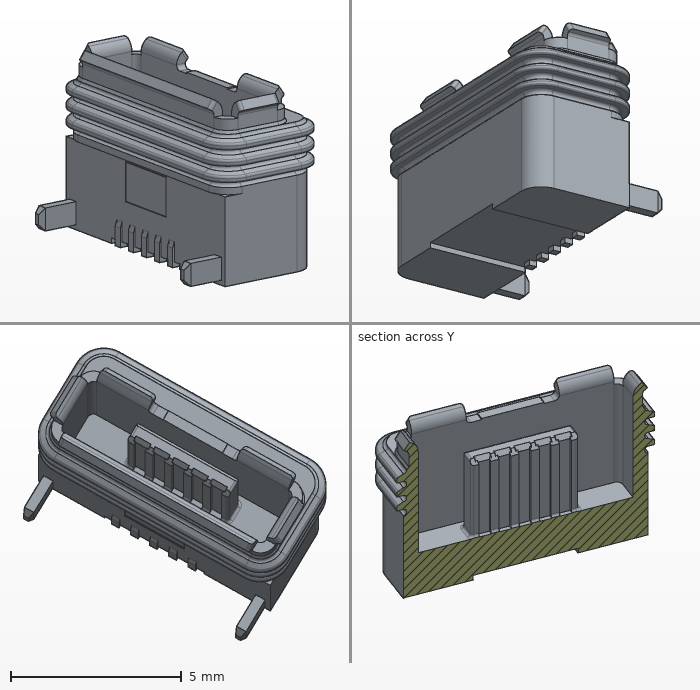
import cadquery as cq
import math

BODY_HALF_X = 3.935
BODY_HALF_Y = 1.69
BODY_CORNER_RADIUS = 0.7
BODY_FRONT_Y = -1.62
BODY_TOP_Z = 2.74
COLLAR_TOP_Z = 2.955

SEAL_HALF_X = 4.15
LIP_COUNT = 3
LIP_PITCH = 0.5
GROOVE_WIDTH = 0.21
LIP_SLOPE_RISE = 0.08
LIP_ROUND_WIDTH = 0.05
LIP_LOWER_ROUND = 0.04

SHELL_HALF_X = 3.76
SHELL_BACK_Y = 0.92
SHELL_FRONT_Y = -1.53
SHELL_CORNER_RADIUS = 0.51
SHELL_WALL = 0.315
SHELL_TOP_Z = 5.0
SHELL_FOOT_WIDTH = 0.06
SHELL_FOOT_HEIGHT = 0.1
CAVITY_FLOOR_Z = 1.49

FLARE_TOP_Z = 5.52
FLARE_ANGLE = 55.0
FLARE_OUTER_RADIUS = 0.125
FLARE_STRAIGHT = 0.125
FLARE_TIP_ROUND = 0.12
BACK_FLARE_INNER_X = 1.49

RIM_LOW_Z = 4.955
RIM_CENTER_HALF_X = 1.005
RIM_NOTCH_ROUND = 0.15

TONGUE_HALF_X = 1.72
TONGUE_BACK_Y = 0.36
TONGUE_FRONT_Y = -0.26
TONGUE_TOP_Z = 4.2
TONGUE_CORNER_ROUND = 0.08
TONGUE_SIDE_ROUND = 0.075
TONGUE_BACK_CHAMFER = 0.1
TONGUE_FRONT_CHAMFER = 0.16
TONGUE_FOOT_ROUND = 0.1
CONTACT_COUNT = 5
CONTACT_PITCH = 0.65
SLOT_WIDTH = 0.38
SLOT_BACK_Y = -0.17
SLOT_MOUTH_WIDTH = 0.51
SLOT_MOUTH_BACK_Y = -0.025
SLOT_MOUTH_DEPTH = 0.14

LEAD_WIDTH = 0.26
LEAD_FRONT_Y = -1.68
LEAD_TOP_Z = 0.78
LEAD_SHOULDER_Z = 0.6
LEAD_NOTCH_HALF_X = 1.685
LEAD_NOTCH_HEIGHT = 0.17
LEAD_THICKNESS = 0.26
POST_X = 3.59
POST_WIDTH = 0.32
POST_BOTTOM_Z = 0.16
POST_TOP_Z = 0.86
POST_TAPER_Y = -2.73
POST_TIP_Y = -2.92
POST_TIP_WIDTH = 0.17
POST_TIP_HEIGHT = 0.315

PANEL_HALF_X = 1.005
PANEL_BOTTOM_Z = 1.44
PANEL_TOP_Z = 2.65
PANEL_DEPTH = 0.03

COVE_RADIUS = GROOVE_WIDTH / 2
SEAL_TOP_Z = COLLAR_TOP_Z + LIP_COUNT * LIP_PITCH + COVE_RADIUS
LIP_DEPTH = SEAL_HALF_X - BODY_HALF_X + COVE_RADIUS
FLOOR_HALF_X = SEAL_HALF_X - LIP_DEPTH
FLOOR_HALF_Y = BODY_HALF_Y - COVE_RADIUS
FLOOR_CORNER_RADIUS = BODY_CORNER_RADIUS - COVE_RADIUS
SHELL_MID_Y = (SHELL_BACK_Y + SHELL_FRONT_Y) / 2
SHELL_HALF_Y = (SHELL_BACK_Y - SHELL_FRONT_Y) / 2


def block(x_min, x_max, y_min, y_max, z_min, z_max):
    """Box between the given coordinates."""
    return cq.Workplane("XY").box(
        x_max - x_min, y_max - y_min, z_max - z_min, centered=False
    ).translate((x_min, y_min, z_min))


def rounded_block(half_x, half_y, radius, z_min, z_max, mid_y=0.0):
    """Upright block with four rounded vertical corners."""
    plain = block(-half_x, half_x, mid_y - half_y, mid_y + half_y, z_min, z_max)
    return plain.edges("|Z").fillet(radius)


def make_housing():
    """Block with a flat square-cornered front, a rounded back and a rounded collar on top."""
    rounded = rounded_block(BODY_HALF_X, BODY_HALF_Y, BODY_CORNER_RADIUS, 0, BODY_TOP_Z)
    front = block(-BODY_HALF_X, BODY_HALF_X, BODY_FRONT_Y, 0, 0, BODY_TOP_Z)
    ahead_of_front = block(
        -BODY_HALF_X, BODY_HALF_X, -BODY_HALF_Y, BODY_FRONT_Y, 0, BODY_TOP_Z
    )
    collar = rounded_block(
        BODY_HALF_X, BODY_HALF_Y, BODY_CORNER_RADIUS, BODY_TOP_Z, COLLAR_TOP_Z
    )
    panel = block(
        -PANEL_HALF_X, PANEL_HALF_X,
        BODY_FRONT_Y, BODY_FRONT_Y + PANEL_DEPTH, PANEL_BOTTOM_Z, PANEL_TOP_Z,
    )
    notch = block(
        -LEAD_NOTCH_HALF_X, LEAD_NOTCH_HALF_X,
        -BODY_HALF_Y, BODY_HALF_Y, 0, LEAD_NOTCH_HEIGHT,
    )
    return rounded.union(front).cut(ahead_of_front).cut(panel).cut(notch).union(collar)


def make_seal():
    """Core with a ring of lips swept around it; coves join the lips to the core."""
    core = rounded_block(
        FLOOR_HALF_X, FLOOR_HALF_Y, FLOOR_CORNER_RADIUS, COLLAR_TOP_Z, SEAL_TOP_Z
    )
    path = core.faces("<Z").wires()

    root = FLOOR_HALF_Y - COVE_RADIUS
    floor = FLOOR_HALF_Y
    cove_end = floor + COVE_RADIUS
    tip = floor + LIP_DEPTH

    profile = cq.Workplane("YZ").moveTo(root, COLLAR_TOP_Z).lineTo(cove_end, COLLAR_TOP_Z)
    slope_angle = math.atan2(LIP_SLOPE_RISE, tip - LIP_ROUND_WIDTH - cove_end)
    upper_round = LIP_ROUND_WIDTH / (1 - math.sin(slope_angle))
    lip_height = LIP_PITCH - GROOVE_WIDTH
    slope_foot = COLLAR_TOP_Z
    for _ in range(LIP_COUNT):
        underside = slope_foot + GROOVE_WIDTH
        slope_top = underside + lip_height
        slope_end = slope_top - LIP_SLOPE_RISE
        profile = (
            profile
            .threePointArc((floor, slope_foot + COVE_RADIUS), (cove_end, underside))
            .lineTo(tip - LIP_LOWER_ROUND, underside)
            .radiusArc((tip, underside + LIP_LOWER_ROUND), -LIP_LOWER_ROUND)
            .lineTo(tip, slope_end - upper_round * math.cos(slope_angle))
            .radiusArc((tip - LIP_ROUND_WIDTH, slope_end), -upper_round)
            .lineTo(cove_end, slope_top)
        )
        slope_foot = slope_top
    profile = (
        profile
        .radiusArc((floor, SEAL_TOP_Z), COVE_RADIUS)
        .lineTo(root, SEAL_TOP_Z)
        .close()
    )
    return core.union(profile.sweep(path))


def make_shell():
    """Rounded sleeve standing on the seal, with a chamfered foot."""
    sleeve = rounded_block(
        SHELL_HALF_X, SHELL_HALF_Y, SHELL_CORNER_RADIUS, SEAL_TOP_Z, SHELL_TOP_Z, SHELL_MID_Y
    )
    foot = rounded_block(
        SHELL_HALF_X + SHELL_FOOT_WIDTH, SHELL_HALF_Y + SHELL_FOOT_WIDTH,
        SHELL_CORNER_RADIUS + SHELL_FOOT_WIDTH,
        SEAL_TOP_Z - SHELL_FOOT_HEIGHT, SEAL_TOP_Z + SHELL_FOOT_HEIGHT, SHELL_MID_Y,
    ).faces(">Z").edges().chamfer(SHELL_FOOT_HEIGHT, SHELL_FOOT_WIDTH)
    return sleeve.union(foot)


def make_cavity():
    """Opening inside the shell, down to the cavity floor."""
    return rounded_block(
        SHELL_HALF_X - SHELL_WALL, SHELL_HALF_Y - SHELL_WALL,
        SHELL_CORNER_RADIUS - SHELL_WALL, CAVITY_FLOOR_Z, SHELL_TOP_Z, SHELL_MID_Y,
    )


def make_back_rim():
    """Back wall between the flares: higher centre land, low ends rounded up into the flares."""
    wall_y = SHELL_BACK_Y - SHELL_WALL
    notch_top_z = RIM_LOW_Z + RIM_NOTCH_ROUND
    wall = block(
        -BACK_FLARE_INNER_X, BACK_FLARE_INNER_X, wall_y, SHELL_BACK_Y, SEAL_TOP_Z, notch_top_z
    )
    notch = block(
        -BACK_FLARE_INNER_X, BACK_FLARE_INNER_X, wall_y, SHELL_BACK_Y, RIM_LOW_Z, FLARE_TOP_Z
    ).edges("|Y and <Z").fillet(RIM_NOTCH_ROUND)
    land = block(
        -RIM_CENTER_HALF_X, RIM_CENTER_HALF_X, wall_y, SHELL_BACK_Y, SEAL_TOP_Z, SHELL_TOP_Z
    )
    return wall.cut(notch).union(land)


def make_back_gap():
    """Cutter that clears the back wall between the flares."""
    return block(
        -BACK_FLARE_INNER_X, BACK_FLARE_INNER_X,
        SHELL_BACK_Y - SHELL_WALL, SHELL_BACK_Y, RIM_LOW_Z, SHELL_TOP_Z,
    )


def make_flare(length):
    """Lip of the given length along X: inner face at Y = 0, bending outward to -Y."""
    angle = math.radians(FLARE_ANGLE)
    inner_radius = FLARE_OUTER_RADIUS + SHELL_WALL
    bend_z = FLARE_TOP_Z - FLARE_STRAIGHT * math.cos(angle) - inner_radius * math.sin(angle)

    def on_bend(radius, turn):
        """Point on the bend at the given radius and turn angle."""
        return (-inner_radius + radius * math.cos(turn), bend_z + radius * math.sin(turn))

    def past_bend(radius):
        """Tip corner at the end of the flat stretch."""
        y, z = on_bend(radius, angle)
        return (y - FLARE_STRAIGHT * math.sin(angle), z + FLARE_STRAIGHT * math.cos(angle))

    flare = (
        cq.Workplane("YZ")
        .moveTo(0, SEAL_TOP_Z)
        .lineTo(0, bend_z)
        .threePointArc(on_bend(inner_radius, angle / 2), on_bend(inner_radius, angle))
        .lineTo(*past_bend(inner_radius))
        .lineTo(*past_bend(FLARE_OUTER_RADIUS))
        .lineTo(*on_bend(FLARE_OUTER_RADIUS, angle))
        .threePointArc(on_bend(FLARE_OUTER_RADIUS, angle / 2), on_bend(FLARE_OUTER_RADIUS, 0))
        .lineTo(-SHELL_WALL, SEAL_TOP_Z)
        .close()
        .extrude(length / 2, both=True)
    )
    across_tip = cq.Vector(0, math.cos(angle), math.sin(angle))
    return flare.edges(cq.selectors.ParallelDirSelector(across_tip)).fillet(FLARE_TIP_ROUND)


def make_flares():
    """One long front lip, one on each side and two on the back."""
    flat_half_x = SHELL_HALF_X - SHELL_CORNER_RADIUS
    flat_half_y = SHELL_HALF_Y - SHELL_CORNER_RADIUS
    axis_start, axis_end = (0, 0, 0), (0, 0, 1)

    flares = make_flare(2 * flat_half_x).translate((0, SHELL_FRONT_Y + SHELL_WALL, 0))
    back_mid_x = (flat_half_x + BACK_FLARE_INNER_X) / 2
    back = make_flare(flat_half_x - BACK_FLARE_INNER_X).rotate(axis_start, axis_end, 180)
    side = make_flare(2 * flat_half_y)
    for sign in (-1, 1):
        flares = flares.union(back.translate((sign * back_mid_x, SHELL_BACK_Y - SHELL_WALL, 0)))
        turned = side.rotate(axis_start, axis_end, sign * 90)
        flares = flares.union(
            turned.translate((sign * (SHELL_HALF_X - SHELL_WALL), SHELL_MID_Y, 0))
        )
    return flares


def contact_positions():
    """X places of the evenly spaced contacts and leads."""
    return [(index - (CONTACT_COUNT - 1) / 2) * CONTACT_PITCH for index in range(CONTACT_COUNT)]


def make_tongue_blade():
    """Blade with rounded corners, rounded top ends and chamfered long top edges."""
    blade = (
        cq.Workplane("YZ")
        .moveTo(TONGUE_FRONT_Y, CAVITY_FLOOR_Z)
        .lineTo(TONGUE_BACK_Y, CAVITY_FLOOR_Z)
        .lineTo(TONGUE_BACK_Y, TONGUE_TOP_Z - TONGUE_BACK_CHAMFER)
        .lineTo(TONGUE_BACK_Y - TONGUE_BACK_CHAMFER, TONGUE_TOP_Z)
        .lineTo(TONGUE_FRONT_Y + TONGUE_FRONT_CHAMFER, TONGUE_TOP_Z)
        .lineTo(TONGUE_FRONT_Y, TONGUE_TOP_Z - TONGUE_FRONT_CHAMFER)
        .close()
        .extrude(TONGUE_HALF_X, both=True)
    )
    limits = block(
        -TONGUE_HALF_X, TONGUE_HALF_X, TONGUE_FRONT_Y, TONGUE_BACK_Y, CAVITY_FLOOR_Z, TONGUE_TOP_Z
    )
    round_corners = limits.edges("|Z").fillet(TONGUE_CORNER_ROUND)
    round_ends = limits.edges("|Y and >Z").fillet(TONGUE_SIDE_ROUND)
    return blade.intersect(round_corners).intersect(round_ends)


def make_tongue():
    """Blade on the cavity floor with a concave foot, slotted along its front for the contacts."""
    foot_half_x = TONGUE_HALF_X + TONGUE_FOOT_ROUND
    foot_front_y = TONGUE_FRONT_Y - TONGUE_FOOT_ROUND
    foot_back_y = TONGUE_BACK_Y + TONGUE_FOOT_ROUND
    ground = block(
        -2 * foot_half_x, 2 * foot_half_x, 2 * foot_front_y, 2 * foot_back_y, 0, CAVITY_FLOOR_Z
    )
    foot_edges = cq.selectors.BoxSelector(
        (-foot_half_x, foot_front_y, CAVITY_FLOOR_Z - TONGUE_FOOT_ROUND),
        (foot_half_x, foot_back_y, CAVITY_FLOOR_Z + TONGUE_FOOT_ROUND),
        boundingbox=True,
    )
    tongue = ground.union(make_tongue_blade()).edges(foot_edges).fillet(TONGUE_FOOT_ROUND)
    tongue = tongue.intersect(
        block(-foot_half_x, foot_half_x, foot_front_y, foot_back_y, CAVITY_FLOOR_Z, TONGUE_TOP_Z)
    )
    for x in contact_positions():
        slot = block(
            x - SLOT_WIDTH / 2, x + SLOT_WIDTH / 2,
            foot_front_y, SLOT_BACK_Y, CAVITY_FLOOR_Z, TONGUE_TOP_Z,
        )
        mouth = (
            cq.Workplane("YZ")
            .moveTo(SLOT_MOUTH_BACK_Y, TONGUE_TOP_Z)
            .lineTo(SLOT_BACK_Y, TONGUE_TOP_Z - SLOT_MOUTH_DEPTH)
            .lineTo(SLOT_BACK_Y, TONGUE_TOP_Z)
            .close()
            .extrude(SLOT_MOUTH_WIDTH / 2, both=True)
            .translate((x, 0, 0))
        )
        tongue = tongue.cut(slot).cut(mouth)
    return tongue


def make_leads():
    """Solder leads with a sloping shoulder, standing proud of the front face."""
    back_y = LEAD_FRONT_Y + LEAD_THICKNESS
    lead = (
        cq.Workplane("YZ")
        .moveTo(back_y, 0)
        .lineTo(LEAD_FRONT_Y, 0)
        .lineTo(LEAD_FRONT_Y, LEAD_SHOULDER_Z)
        .lineTo(BODY_FRONT_Y, LEAD_TOP_Z)
        .lineTo(back_y, LEAD_TOP_Z)
        .close()
        .extrude(LEAD_WIDTH / 2, both=True)
    )
    leads = cq.Workplane("XY")
    for x in contact_positions():
        leads = leads.add(lead.translate((x, 0, 0)))
    return leads.combine()


def make_post():
    """Rectangular mounting post along -Y with a tip tapering on all four sides."""
    height = POST_TOP_Z - POST_BOTTOM_Z
    shaft = block(
        -POST_WIDTH / 2, POST_WIDTH / 2, POST_TAPER_Y, BODY_FRONT_Y, POST_BOTTOM_Z, POST_TOP_Z
    )
    tip = (
        cq.Workplane("XZ", origin=(0, POST_TAPER_Y, (POST_BOTTOM_Z + POST_TOP_Z) / 2))
        .rect(POST_WIDTH, height)
        .workplane(offset=POST_TAPER_Y - POST_TIP_Y)
        .rect(POST_TIP_WIDTH, POST_TIP_HEIGHT)
        .loft(ruled=True)
    )
    return shaft.union(tip)


result = make_housing().union(make_seal()).union(make_shell()).union(make_flares())
result = result.cut(make_cavity()).cut(make_back_gap())
result = result.union(make_back_rim()).union(make_tongue()).union(make_leads())
for post_x in (-POST_X, POST_X):
    result = result.union(make_post().translate((post_x, 0, 0)))